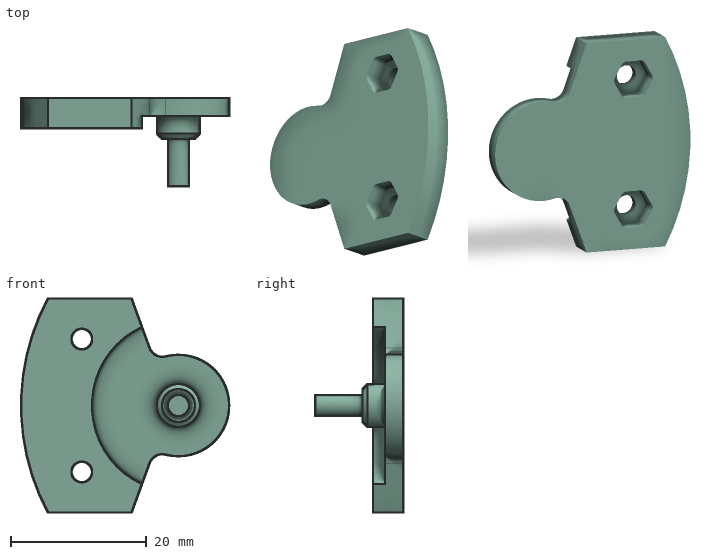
import cadquery as cq
import math


plate_height = 31.59
plate_thickness = 4.5
rim_x = -23.22
rim_corner_x = -19.25
shoulder_x = -6.9
flank_angle = 70
hub_radius = 7.5
neck_fillet = 2.0

recess_radius = 12.75
recess_floor_thickness = 2.7

boss_diameter = 6.35
boss_end = 6.05
boss_chamfer = 0.75
pin_diameter = 3.15
pin_end = 13.05

hole_diameter = 3.0
hole_x = -14.25
hole_spacing = 19.6

nut_sides = 6
nut_across_flats = 5.5
nut_pocket_depth = 3.0
nut_corner_radius = 0.85

half_height = plate_height / 2


def make_plate():
    """Curved plate with slanted flanks blended into a round hub."""
    slope = math.radians(flank_angle)
    flank_foot_x = shoulder_x + half_height / math.tan(slope)
    body = (
        cq.Workplane("XZ")
        .moveTo(rim_corner_x, half_height)
        .lineTo(shoulder_x, half_height)
        .lineTo(flank_foot_x, 0)
        .lineTo(shoulder_x, -half_height)
        .lineTo(rim_corner_x, -half_height)
        .threePointArc((rim_x, 0), (rim_corner_x, half_height))
        .close()
        .extrude(plate_thickness)
    )
    hub = cq.Workplane("XZ").circle(hub_radius).extrude(plate_thickness)
    foot_distance = flank_foot_x * math.sin(slope)
    along = math.sqrt(hub_radius**2 - foot_distance**2)
    neck_x = foot_distance * math.sin(slope) - along * math.cos(slope)
    neck_z = foot_distance * math.cos(slope) + along * math.sin(slope)
    reach = 0.1
    necks = cq.selectors.BoxSelector(
        (neck_x - reach, -plate_thickness, -neck_z - reach),
        (neck_x + reach, 0, neck_z + reach),
    )
    return body.union(hub).edges("|Y").edges(necks).fillet(neck_fillet)


def make_recess():
    """Disc removed from the front face around the pivot."""
    return (
        cq.Workplane("XZ", origin=(0, -recess_floor_thickness, 0))
        .circle(recess_radius)
        .extrude(plate_thickness - recess_floor_thickness)
    )


def make_pivot():
    """Chamfered boss with a slimmer pin on the pivot axis."""
    boss = (
        cq.Workplane("XZ")
        .circle(boss_diameter / 2)
        .extrude(boss_end)
        .faces("<Y")
        .chamfer(boss_chamfer)
    )
    pin = cq.Workplane("XZ").circle(pin_diameter / 2).extrude(pin_end)
    return boss.union(pin)


def make_holes():
    """Two through holes, each widened at the back by a nut pocket with rounded corners."""
    centers = [(hole_x, side * hole_spacing / 2) for side in (-1, 1)]
    across_corners = nut_across_flats / math.cos(math.pi / nut_sides)
    holes = (
        cq.Workplane("XZ")
        .pushPoints(centers)
        .circle(hole_diameter / 2)
        .extrude(plate_thickness)
    )
    pockets = (
        cq.Workplane("XZ")
        .pushPoints(centers)
        .polygon(nut_sides, across_corners)
        .extrude(nut_pocket_depth)
        .edges("|Y")
        .fillet(nut_corner_radius)
    )
    return holes.union(pockets)


result = make_plate().cut(make_recess()).cut(make_holes()).union(make_pivot())